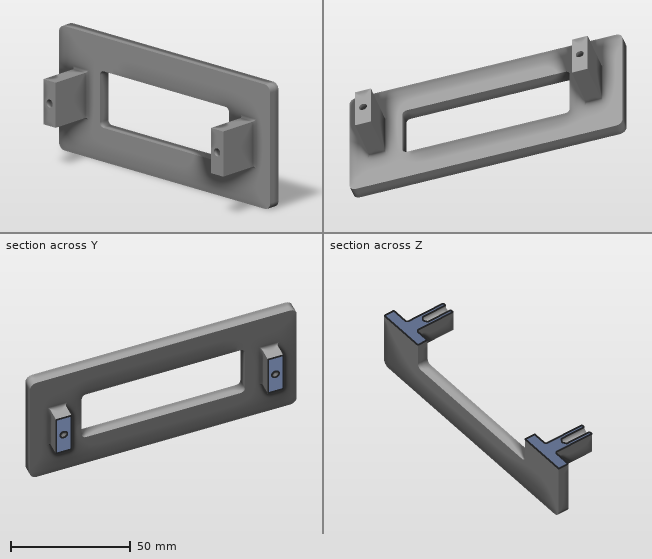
import cadquery as cq
import math

plate_length = 121.0
plate_height = 55.0
plate_thickness = 5.2
plate_corner_radius = 3.0

window_length = 74.0
window_height = 25.0
window_corner_radius = 2.0

overall_depth = 24.5
post_length = overall_depth - plate_thickness
post_width = 7.0
post_height = 20.0
post_spacing = 96.1
post_base_fillet = 1.0

hole_diameter = 3.5
hole_depth = 12.1
drill_point_angle = 118.0


def rounded_block(length, height, thickness, corner_radius):
    """Block centred on the Y axis, from Y = 0 to its thickness, with rounded corners."""
    block = cq.Workplane("XY").box(length, thickness, height, centered=(True, False, True))
    return block.edges("|Y").fillet(corner_radius)


def post(center_x):
    """Rectangular post reaching from the plate toward -Y."""
    return (
        cq.Workplane("XZ")
        .center(center_x, 0)
        .rect(post_width, post_height)
        .extrude(post_length)
    )


def screw_hole(center_x):
    """Drilled volume: a cylinder that ends in a cone."""
    radius = hole_diameter / 2
    point_length = radius / math.tan(math.radians(drill_point_angle / 2))
    bottom_y = hole_depth - post_length
    return (
        cq.Workplane("XY")
        .moveTo(0, -post_length)
        .lineTo(radius, -post_length)
        .lineTo(radius, bottom_y)
        .lineTo(0, bottom_y + point_length)
        .close()
        .revolve(360, (0, 0, 0), (0, 1, 0))
        .translate((center_x, 0, 0))
    )


plate = rounded_block(plate_length, plate_height, plate_thickness, plate_corner_radius)
window = rounded_block(window_length, window_height, plate_thickness, window_corner_radius)
post_centers = (-post_spacing / 2, post_spacing / 2)

result = plate
for center_x in post_centers:
    result = result.union(post(center_x))
post_base_zone = cq.selectors.BoxSelector(
    (-post_spacing / 2 - post_width, -post_base_fillet, -post_height),
    (post_spacing / 2 + post_width, post_base_fillet, post_height),
)
result = result.edges(post_base_zone).fillet(post_base_fillet)

result = result.cut(window)
for center_x in post_centers:
    result = result.cut(screw_hole(center_x))